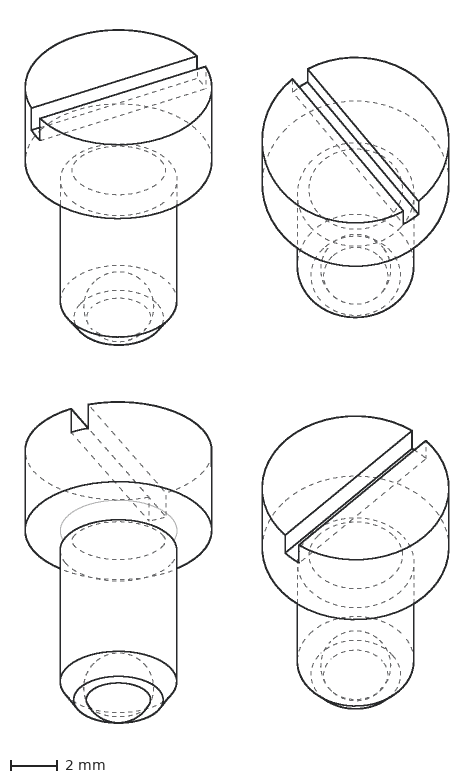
import cadquery as cq

total_length = 13.4
head_diameter = 8.0
head_height = 4.0
slot_width = 0.8
slot_depth = 1.19
shank_diameter = 5.0
groove_radius = 0.5
tip_radius = 1.92
cone_height = 0.9
ball_radius = 1.5
ball_protrusion = 0.9

shank_radius = shank_diameter / 2

ball_bottom_z = head_height - total_length
tip_z = ball_bottom_z + ball_protrusion
cone_top_z = tip_z + cone_height
ball_center_z = ball_bottom_z + ball_radius


def make_ball():
    """Full ball held in the tip."""
    return cq.Workplane("XY").sphere(ball_radius).translate((0, 0, ball_center_z))


def make_shank():
    """Shank with a half-round groove under the head and a tapered tip."""
    groove_bottom_z = -2 * groove_radius
    return (
        cq.Workplane("XZ")
        .moveTo(0, 0)
        .lineTo(shank_radius, 0)
        .threePointArc((shank_radius - groove_radius, -groove_radius), (shank_radius, groove_bottom_z))
        .lineTo(shank_radius, cone_top_z)
        .lineTo(tip_radius, tip_z)
        .lineTo(0, tip_z)
        .close()
        .revolve(360, (0, 0, 0), (0, 1, 0))
    )


def make_head():
    """Cylindrical head with a screwdriver slot running along Y."""
    head = cq.Workplane("XY").circle(head_diameter / 2).extrude(head_height)
    slot = (
        cq.Workplane("XY")
        .workplane(offset=head_height - slot_depth)
        .rect(slot_width, head_diameter)
        .extrude(slot_depth)
    )
    return head.cut(slot)


ball = make_ball()
housing = make_head().union(make_shank()).cut(ball)

result = cq.Compound.makeCompound([housing.solids().val(), ball.val()])